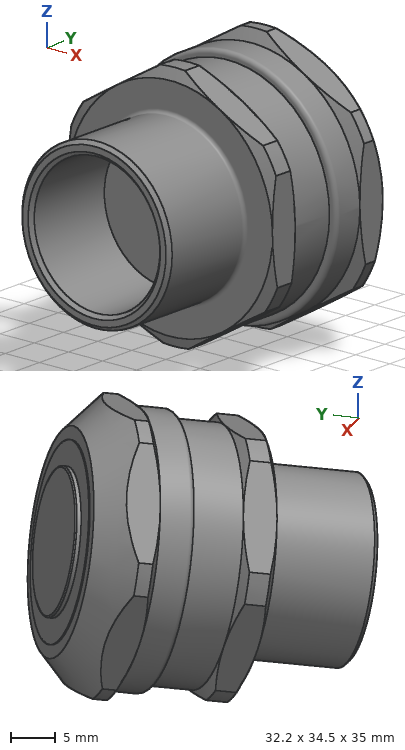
import cadquery as cq
import math

total_length = 34.5

tube_diameter = 22.0
bore_diameter = 18.4
bore_depth = 12.52
tube_chamfer = 0.5
root_radius = 0.5

body_diameter = 30.0
body_hex_corner_diameter = 32.73
body_hex_start = 13.0
body_hex_length = 3.9
body_chamfer_length = 0.75

nut_diameter = 32.0
nut_hex_corner_diameter = 34.97
collar_start = 22.8
collar_radius = 0.6
nut_hex_start = 26.85
nut_chamfer_length = 0.85
nut_corner_length = 1.65
dome_end = 33.7
dome_end_diameter = 26.1
hex_turn = 0.9

step_diameter = 23.0
step_height = 0.15
boss_diameter = 17.03
boss_chamfer = 0.17


def revolve_profile(points):
    """Revolve (radius, y) points about the Y axis."""
    return cq.Workplane("XY").polyline(points).close().revolve(360, (0, 0, 0), (0, 1, 0))


def cylinder(diameter, start, end):
    radius = diameter / 2
    return revolve_profile([(0, start), (radius, start), (radius, end), (0, end)])


def hex_prism(across_flats, start, end):
    """Hexagon along Y with corners up and down, turned slightly about the axis."""
    across_corners = across_flats / math.cos(math.pi / 6)
    prism = (
        cq.Workplane("XZ", origin=(0, start, 0))
        .polygon(6, across_corners)
        .extrude(start - end)
    )
    return prism.rotate((0, 0, 0), (0, 1, 0), 90 - hex_turn)


def make_tube():
    tube = cylinder(tube_diameter, 0, body_hex_start + root_radius)
    return tube.faces("<Y").chamfer(tube_chamfer)


def make_body():
    """Round body with a hexagon chamfered on both sides."""
    flat_radius = body_diameter / 2
    corner_radius = body_hex_corner_diameter / 2
    hex_end = body_hex_start + body_hex_length
    hex_limit = revolve_profile([
        (0, body_hex_start),
        (flat_radius, body_hex_start),
        (corner_radius, body_hex_start + body_chamfer_length),
        (corner_radius, hex_end - body_chamfer_length),
        (flat_radius, hex_end),
        (0, hex_end),
    ])
    hexagon = hex_prism(body_diameter, body_hex_start, hex_end).intersect(hex_limit)
    barrel = cylinder(body_diameter, body_hex_start, nut_hex_start)
    return hexagon.union(barrel)


def make_root_fillet():
    """Concave ring where the tube meets the body hexagon."""
    radius = tube_diameter / 2
    bend = root_radius * (1 - math.sqrt(0.5))
    return (
        cq.Workplane("XY")
        .moveTo(radius - root_radius, body_hex_start - root_radius)
        .lineTo(radius, body_hex_start - root_radius)
        .threePointArc(
            (radius + bend, body_hex_start - bend),
            (radius + root_radius, body_hex_start),
        )
        .lineTo(radius - root_radius, body_hex_start)
        .close()
        .revolve(360, (0, 0, 0), (0, 1, 0))
    )


def make_nut():
    """Round collar followed by a hexagon that runs out into a conical dome."""
    flat_radius = nut_diameter / 2
    corner_radius = nut_hex_corner_diameter / 2
    corner_start = nut_hex_start + nut_chamfer_length
    hex_limit = revolve_profile([
        (0, nut_hex_start),
        (flat_radius, nut_hex_start),
        (corner_radius, corner_start),
        (corner_radius, corner_start + nut_corner_length),
        (dome_end_diameter / 2, dome_end),
        (0, dome_end),
    ])
    hexagon = hex_prism(nut_diameter, nut_hex_start, dome_end).intersect(hex_limit)
    collar = cylinder(nut_diameter, collar_start, nut_hex_start)
    collar = collar.faces("<Y").edges().fillet(collar_radius)
    return collar.union(hexagon)


def make_rear_face():
    step = cylinder(step_diameter, dome_end, dome_end + step_height)
    boss = cylinder(boss_diameter, dome_end, total_length)
    boss = boss.faces(">Y").chamfer(boss_chamfer)
    return step.union(boss)


def make_bore():
    """Blind bore with a chamfered mouth."""
    radius = bore_diameter / 2
    return revolve_profile([
        (0, 0),
        (radius + tube_chamfer, 0),
        (radius, tube_chamfer),
        (radius, bore_depth),
        (0, bore_depth),
    ])


result = (
    make_tube()
    .union(make_root_fillet())
    .union(make_body())
    .union(make_nut())
    .union(make_rear_face())
    .cut(make_bore())
)